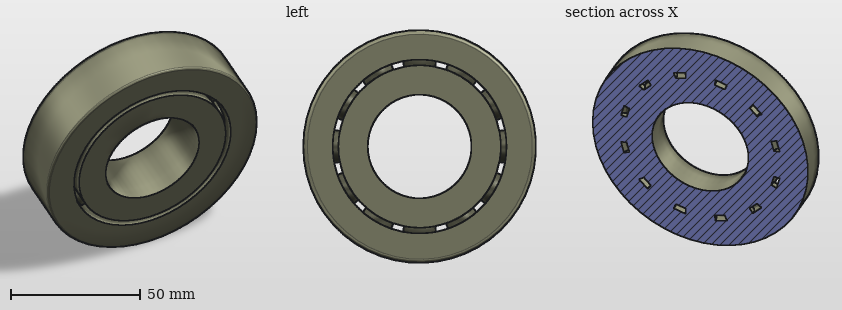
import cadquery as cq

outer_diameter = 90.0
width = 23.0
bore_diameter = 40.0

inner_ring_diameter = 62.7
outer_ring_bore = 67.1

front_corner_radius = 1.5
back_corner_radius = 0.8

ball_count = 12
ball_diameter = 12.6
pitch_radius = (inner_ring_diameter + outer_ring_bore) / 4


def ring(outside, inside):
    """Plain ring along X, centred on the middle plane of the bearing."""
    return (
        cq.Workplane("YZ", origin=(-width / 2, 0, 0))
        .circle(outside / 2)
        .circle(inside / 2)
        .extrude(width)
    )


def round_outside_edge(body, face, radius):
    """Round the larger circular edge of one end face."""
    rim = body.faces(face).edges(cq.selectors.RadiusNthSelector(-1))
    return body.newObject(rim.vals()).fillet(radius)


def outer_ring():
    body = ring(outer_diameter, outer_ring_bore)
    body = round_outside_edge(body, "<X", front_corner_radius)
    return round_outside_edge(body, ">X", back_corner_radius)


def ball(index):
    """Ball sunk into both rings, so that it joins them across the gap."""
    angle = index * 360 / ball_count
    return (
        cq.Workplane("XY")
        .sphere(ball_diameter / 2)
        .translate((0, 0, pitch_radius))
        .rotate((0, 0, 0), (1, 0, 0), angle)
    )


result = outer_ring().union(ring(inner_ring_diameter, bore_diameter))
for index in range(ball_count):
    result = result.union(ball(index))